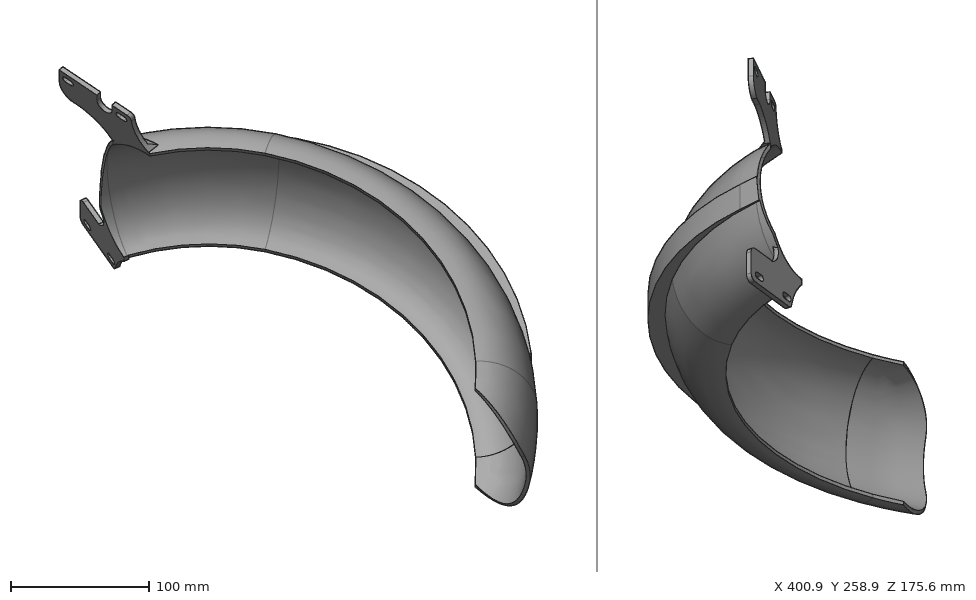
import cadquery as cq
import math

MAIN_RADIUS = 200.5
START_RADIUS = 169.9
JOIN_ANGLE = 34.2
SEAM_ANGLE = 108.0
TIP_ANGLE = 125.0
HALF_WIDTH = 60.0
CROWN_DEPTH = 44.5
WALL = 3.0
FOOT_LENGTH = 30.0
CAVITY_LIP = 25.0

ARC_SHIFT = MAIN_RADIUS - START_RADIUS
START_X = -ARC_SHIFT * math.cos(math.radians(JOIN_ANGLE))
START_Y = ARC_SHIFT * math.sin(math.radians(JOIN_ANGLE))
RIM_X = START_X - START_RADIUS

TIP_TILT = 18.0
TIP_REACH = 60.3
TIP_RADIUS = 36.0

RIB_WIDTH = 20.8
RIB_RADIUS = 218.4
RIB_CENTRE = (-21.6, 32.5)
RIB_BAND = 20.0
RIB_END_ANGLE = 75.0

FLARE_START = (START_Y, 30.0)
FLARE_MIDDLE = (15.0, 0.0)
FLARE_END = (9.0, -36.0)

PLATE = 4.0
TAB_EDGE_Z = 87.8
SLOT_LENGTH = 10.0
SLOT_WIDTH = 5.0
SLOT_Z = 81.0

UPPER_TILT = 30.0
UPPER_CORNER = (-268.2, -8.0)
UPPER_SLOTS = (8.2, 58.4)
UPPER_SIDE_Z = 73.0
UPPER_ROUND_MIDDLE = (3.0, 65.0)
UPPER_ROUND_END = 10.5
UPPER_NECK_START = 19.0
UPPER_NECK_MIDDLE = (35.5, 56.0)
UPPER_NECK_END = (50.3, 45.4)
UPPER_ROOT_X = 83.0
UPPER_SWEEP_START = (84.5, 59.6)
UPPER_SWEEP_MIDDLE = (74.5, 68.0)
UPPER_SWEEP_END = (67.8, 83.7)
UPPER_TIP_MIDDLE = (66.6, 86.7)
UPPER_TIP_X = 63.8
NOTCH_WIDTH = 14.0
NOTCH_X = 42.5
NOTCH_BOTTOM_Z = 74.3
GUSSET_RISE = 3.2
GUSSET_RUN = 6.0

LOWER_TILT = 9.3
LOWER_CORNER = (-257.9, 4.2)
LOWER_SLOTS = (10.5, 45.5)
LOWER_CORNER_RADIUS = 5.0
LOWER_NECK_START = 27.3
LOWER_NECK_MIDDLE = (34.6, -49.4)
LOWER_NECK_END = (31.3, -41.0)
LOWER_ROOT_X = 64.3
LOWER_SWEEP_START_Z = -61.9
LOWER_SWEEP_MIDDLE = (56.0, -72.7)
LOWER_SWEEP_END = (52.3, -82.1)
LOWER_TIP_START = (51.5, -85.0)
LOWER_TIP_MIDDLE = (50.5, -87.0)
LOWER_TIP_X = 48.5

LONG = 400.0


def section(rim_x, half_width, depth, lip):
    """Half ellipse opening towards +X; `lip` continues it past the rim as a rectangle."""
    outline = cq.Workplane("XZ").moveTo(rim_x, half_width)
    outline = outline.ellipseArc(depth, half_width, 90, 270, startAtCurrent=True)
    if lip > 0:
        outline = outline.lineTo(rim_x + lip, -half_width).lineTo(rim_x + lip, half_width)
    return outline.close()


def long_arc(half_width, depth, lip, first_angle, last_angle):
    """Solid bar along part of the long arc, with angles measured from -X towards +Y."""
    bar = section(-MAIN_RADIUS, half_width, depth, lip)
    bar = bar.revolve(last_angle - first_angle, (0, 0), (0, -1))
    return bar.rotate((0, 0, 0), (0, 0, 1), -first_angle)


def fender_body(half_width, depth, lip):
    """Solid bar: straight foot, tight arc, then long arc up to the tip piece."""
    foot = section(RIM_X, half_width, depth, lip).extrude(FOOT_LENGTH).translate((0, START_Y, 0))
    tight = section(-START_RADIUS, half_width, depth, lip)
    tight = tight.revolve(JOIN_ANGLE, (0, 0), (0, -1)).translate((START_X, START_Y, 0))
    main = long_arc(half_width, depth, lip, JOIN_ANGLE, SEAM_ANGLE)
    return foot.union(tight).union(main)


def tip_envelope():
    """Rounded-corner outline, pushed along the tilted trimming direction, that trims the far end."""
    return (
        cq.Workplane("XZ", origin=(TIP_REACH - LONG / 2, 0, 0))
        .rect(LONG, 2 * HALF_WIDTH)
        .extrude(LONG, both=True)
        .edges("|Y and >X")
        .fillet(TIP_RADIUS)
        .rotate((0, 0, 0), (0, 0, 1), -TIP_TILT)
    )


def tip_piece():
    """Rounded end of the shell; its edges stand square to the curved outside."""
    solid = long_arc(HALF_WIDTH, CROWN_DEPTH, 0, SEAM_ANGLE, TIP_ANGLE).intersect(tip_envelope())
    outside = solid.faces("%REVOLUTION").val()
    return cq.Workplane(outside.thicken(-WALL))


def crown_rib():
    """Flat band whose outer arc stands proud of the crown and dies into the long arc."""
    cx, cy = RIB_CENTRE
    inner = RIB_RADIUS - RIB_BAND
    foot_y = START_Y - FOOT_LENGTH

    def at(radius, angle):
        turn = math.radians(angle)
        return (cx + radius * math.cos(turn), cy + radius * math.sin(turn))

    middle_angle = (180 + RIB_END_ANGLE) / 2
    return (
        cq.Workplane("XY", origin=(0, 0, -RIB_WIDTH / 2))
        .moveTo(cx - RIB_RADIUS, foot_y)
        .lineTo(cx - RIB_RADIUS, cy)
        .threePointArc(at(RIB_RADIUS, middle_angle), at(RIB_RADIUS, RIB_END_ANGLE))
        .lineTo(*at(inner, RIB_END_ANGLE))
        .threePointArc(at(inner, middle_angle), (cx - inner, cy))
        .lineTo(cx - inner, foot_y)
        .close()
        .extrude(RIB_WIDTH)
    )


def plate_plane(corner, tilt):
    """Plane of a bracket's front face: local x runs along the plate, local y is Z."""
    angle = math.radians(tilt)
    return cq.Plane(
        origin=(corner[0], corner[1], 0),
        xDir=(math.cos(angle), math.sin(angle), 0),
        normal=(math.sin(angle), -math.cos(angle), 0),
    )


def slots(plane, positions, z):
    """Cutters for a row of slots through a bracket."""
    return (
        cq.Workplane(plane)
        .pushPoints([(x, z) for x in positions])
        .slot2D(SLOT_LENGTH, SLOT_WIDTH)
        .extrude(-PLATE)
    )


def upper_outline(plane):
    """Bracket outline; its lower right corner reaches into the hollow and is trimmed there."""
    return (
        cq.Workplane(plane)
        .moveTo(0, TAB_EDGE_Z)
        .lineTo(0, UPPER_SIDE_Z)
        .threePointArc(UPPER_ROUND_MIDDLE, (UPPER_ROUND_END, HALF_WIDTH))
        .lineTo(UPPER_NECK_START, HALF_WIDTH)
        .threePointArc(UPPER_NECK_MIDDLE, UPPER_NECK_END)
        .lineTo(UPPER_ROOT_X, UPPER_NECK_END[1])
        .lineTo(*UPPER_SWEEP_START)
        .threePointArc(UPPER_SWEEP_MIDDLE, UPPER_SWEEP_END)
        .threePointArc(UPPER_TIP_MIDDLE, (UPPER_TIP_X, TAB_EDGE_Z))
        .close()
    )


def upper_bracket(plane):
    """Upper plate with a round-bottomed notch and two slots."""
    plate = upper_outline(plane).extrude(-PLATE)
    radius = NOTCH_WIDTH / 2
    floor = NOTCH_BOTTOM_Z + radius
    notch = (
        cq.Workplane(plane)
        .moveTo(NOTCH_X - radius, LONG)
        .lineTo(NOTCH_X - radius, floor)
        .threePointArc((NOTCH_X, NOTCH_BOTTOM_Z), (NOTCH_X + radius, floor))
        .lineTo(NOTCH_X + radius, LONG)
        .close()
        .extrude(-PLATE)
    )
    return plate.cut(notch).cut(slots(plane, UPPER_SLOTS, SLOT_Z))


def upper_gusset(plane):
    """Sloping collar that blends the back of the upper bracket into the outside of the shell."""
    angle = math.radians(UPPER_TILT)

    def collar_outline(start, setback, swell):
        rim = (RIM_X - UPPER_CORNER[0] + setback * math.sin(angle)) / math.cos(angle)
        depth = (CROWN_DEPTH + swell) / math.cos(angle)
        height = HALF_WIDTH + swell
        start = start.moveTo(rim, height)
        return start.ellipseArc(depth, height, 90, 270, startAtCurrent=True).close()

    back = cq.Workplane(plane).workplane(offset=-PLATE)
    collar = collar_outline(back, PLATE, GUSSET_RISE).workplane(offset=-GUSSET_RUN)
    collar = collar_outline(collar, PLATE + GUSSET_RUN, 0).loft(ruled=True)
    return collar.intersect(upper_outline(plane).extrude(-PLATE - GUSSET_RUN))


def lower_bracket(plane):
    """Lower plate with two slots; its root reaches into the hollow and is trimmed there."""
    plate = (
        cq.Workplane(plane)
        .moveTo(LOWER_CORNER_RADIUS, -HALF_WIDTH)
        .lineTo(LOWER_NECK_START, -HALF_WIDTH)
        .threePointArc(LOWER_NECK_MIDDLE, LOWER_NECK_END)
        .lineTo(LOWER_ROOT_X, LOWER_NECK_END[1])
        .lineTo(LOWER_ROOT_X, LOWER_SWEEP_START_Z)
        .threePointArc(LOWER_SWEEP_MIDDLE, LOWER_SWEEP_END)
        .lineTo(*LOWER_TIP_START)
        .threePointArc(LOWER_TIP_MIDDLE, (LOWER_TIP_X, -TAB_EDGE_Z))
        .lineTo(LOWER_CORNER_RADIUS, -TAB_EDGE_Z)
        .tangentArcPoint((0, LOWER_CORNER_RADIUS - TAB_EDGE_Z), relative=False)
        .lineTo(0, -HALF_WIDTH - LOWER_CORNER_RADIUS)
        .tangentArcPoint((LOWER_CORNER_RADIUS, -HALF_WIDTH), relative=False)
        .close()
        .extrude(-PLATE)
    )
    return plate.cut(slots(plane, LOWER_SLOTS, -SLOT_Z))


def below_flare():
    """Everything under the curved lower edge of the shell."""
    return (
        cq.Workplane("YZ", origin=(-LONG, 0, 0))
        .moveTo(FLARE_START[0], LONG)
        .lineTo(*FLARE_START)
        .threePointArc(FLARE_MIDDLE, FLARE_END)
        .lineTo(FLARE_END[0], -LONG)
        .lineTo(-LONG, -LONG)
        .lineTo(-LONG, LONG)
        .close()
        .extrude(LONG + RIM_X + CAVITY_LIP)
    )


upper_plane = plate_plane(UPPER_CORNER, UPPER_TILT)
lower_plane = plate_plane(LOWER_CORNER, LOWER_TILT)

below_upper_bracket = cq.Workplane(upper_plane).center(0, LONG / 2).rect(LONG, LONG).extrude(LONG)
below_lower_bracket = cq.Workplane(lower_plane).rect(LONG, LONG).extrude(LONG)

cavity = fender_body(HALF_WIDTH - WALL, CROWN_DEPTH - WALL, CAVITY_LIP)
shell = fender_body(HALF_WIDTH, CROWN_DEPTH, 0).union(crown_rib())
shell = shell.cut(below_flare())
shell = shell.cut(below_lower_bracket).cut(below_upper_bracket)

upper = upper_bracket(upper_plane).union(upper_gusset(upper_plane))
lower = lower_bracket(lower_plane)
result = shell.union(upper).union(lower).cut(cavity).union(tip_piece())